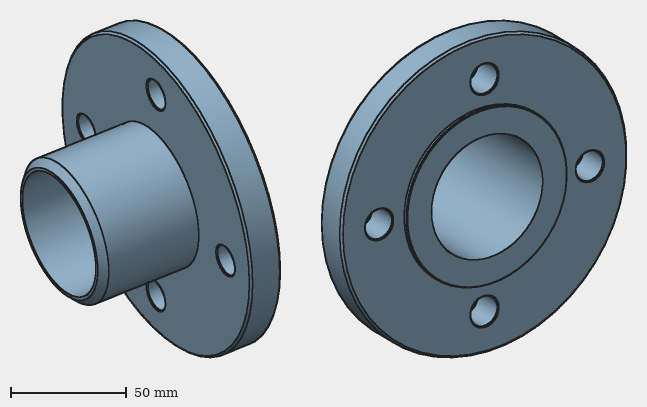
import cadquery as cq

total_length = 68.0
bore_diameter = 58.0

pipe_diameter = 68.0
collar_diameter = 84.0
collar_thickness = 2.0
collar_chamfer = 0.5
bevel_radial = 3.5
bevel_axial = 3.5

flange_diameter = 150.0
flange_thickness = 16.0
flange_chamfer = 1.0
bolt_hole_diameter = 14.0
bolt_hole_chamfer = 0.52
bolt_circle_diameter = 110.1
bolt_count = 4

collar_front_y = -collar_thickness
flange_front_y = collar_front_y - flange_thickness
pipe_end_y = -total_length


def make_stub_end():
    """Revolve the pipe wall, its beveled end and its collar about Y."""
    bore_radius = bore_diameter / 2
    pipe_radius = pipe_diameter / 2
    collar_radius = collar_diameter / 2
    return (
        cq.Workplane("XY")
        .moveTo(bore_radius, pipe_end_y)
        .lineTo(pipe_radius - bevel_radial, pipe_end_y)
        .lineTo(pipe_radius, pipe_end_y + bevel_axial)
        .lineTo(pipe_radius, collar_front_y)
        .lineTo(collar_radius, collar_front_y)
        .lineTo(collar_radius, -collar_chamfer)
        .lineTo(collar_radius - collar_chamfer, 0)
        .lineTo(bore_radius, 0)
        .close()
        .revolve(360, (0, 0, 0), (0, 1, 0))
    )


def make_flange():
    """Chamfered disc fitting around the pipe, with chamfered bolt holes."""
    disc = (
        cq.Workplane("XZ", origin=(0, collar_front_y, 0))
        .circle(flange_diameter / 2)
        .extrude(flange_thickness)
        .edges()
        .chamfer(flange_chamfer)
    )
    pipe_hole = (
        cq.Workplane("XZ", origin=(0, collar_front_y, 0))
        .circle(pipe_diameter / 2)
        .extrude(flange_thickness)
    )
    return disc.cut(pipe_hole).cut(make_bolt_hole_cutters())


def make_bolt_hole_cutters():
    """Ring of hole shapes that flare to a chamfer at both flange faces."""
    hole_radius = bolt_hole_diameter / 2
    mouth_radius = hole_radius + bolt_hole_chamfer
    cutter = (
        cq.Workplane("XY")
        .moveTo(0, flange_front_y)
        .lineTo(mouth_radius, flange_front_y)
        .lineTo(hole_radius, flange_front_y + bolt_hole_chamfer)
        .lineTo(hole_radius, collar_front_y - bolt_hole_chamfer)
        .lineTo(mouth_radius, collar_front_y)
        .lineTo(0, collar_front_y)
        .close()
        .revolve(360, (0, 0, 0), (0, 1, 0))
        .translate((bolt_circle_diameter / 2, 0, 0))
    )
    cutters = cq.Workplane("XY")
    for index in range(bolt_count):
        angle = index * 360 / bolt_count
        cutters = cutters.add(cutter.rotate((0, 0, 0), (0, 1, 0), angle))
    return cutters.combine()


stub_end = make_stub_end()
flange = make_flange()

result = cq.Compound.makeCompound([stub_end.val(), *flange.solids().vals()])